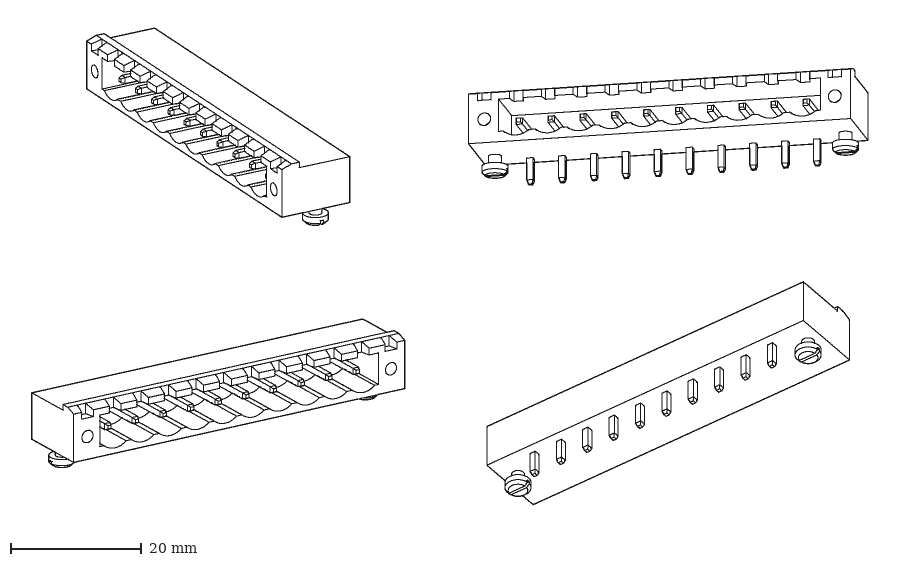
import cadquery as cq


pin_count = 10
pitch = 5.0
row_x = [(i - (pin_count - 1) / 2) * pitch for i in range(pin_count)]
screw_x = [row_x[0] - pitch, row_x[-1] + pitch]

length = (pin_count + 2) * pitch
depth = 12.0
height = 8.5
rear_height = 7.6
lip_depth = 3.1
bevel_depth = 1.7
bevel_drop = 0.6

cavity_end_wall = 4.75
cavity_depth = 9.0
cavity_floor = 1.65
cavity_roof = 6.8
groove_half_width = 2.0
groove_sag = 0.75

notch_front_width = 2.1
notch_back_width = 1.5

pin_size = 1.0
pin_tip_size = 0.6
pin_tip_length = 0.6
pin_axis_z = 3.75
pin_axis_y = depth - 2.1
pin_below_board = 4.1
pin_front_y = 1.6

hole_diameter = 2.0
hole_depth = 5.0
shank_diameter = 2.0
head_diameter = 4.0
screw_y = depth - 4.65
head_top_z = -1.6
head_height = 1.5
head_chamfer = 0.5
slot_width = 0.5
slot_depth = 0.9


def make_housing():
    """Stepped bar whose raised front lip has a bevelled edge."""
    profile = [
        (0, 0),
        (depth, 0),
        (depth, rear_height),
        (lip_depth, rear_height),
        (lip_depth, height),
        (bevel_depth, height),
        (0, height - bevel_drop),
    ]
    return cq.Workplane("YZ").polyline(profile).close().extrude(length / 2, both=True)


def make_cavity():
    """Front pocket with one shallow round groove in its floor below each pin."""
    half_width = length / 2 - cavity_end_wall
    outline = cq.Workplane("XZ").moveTo(-half_width, cavity_roof).lineTo(-half_width, cavity_floor)
    for x in row_x:
        outline = outline.lineTo(x - groove_half_width, cavity_floor)
        outline = outline.threePointArc(
            (x, cavity_floor - groove_sag),
            (x + groove_half_width, cavity_floor),
        )
    outline = outline.lineTo(half_width, cavity_floor).lineTo(half_width, cavity_roof).close()
    return outline.extrude(-cavity_depth)


def make_notch(x):
    """Notch through the lip, widening towards the mating face."""
    plan = [
        (x - notch_front_width / 2, 0),
        (x + notch_front_width / 2, 0),
        (x + notch_back_width / 2, bevel_depth),
        (x - notch_back_width / 2, bevel_depth),
    ]
    return cq.Workplane("XY", origin=(0, 0, cavity_roof)).polyline(plan).close().extrude(height - cavity_roof)


def make_flange_hole(x):
    """Blind round hole in the mating face."""
    return (
        cq.Workplane("XZ", origin=(x, 0, pin_axis_z))
        .circle(hole_diameter / 2)
        .extrude(-hole_depth)
    )


def make_pin_leg(start, direction, leg_length):
    """Square leg from start along direction, tapering to a blunt tip."""
    plane = cq.Plane(origin=start, xDir=(1, 0, 0), normal=direction)
    straight_length = leg_length - pin_tip_length
    leg = cq.Workplane(plane).rect(pin_size, pin_size).extrude(straight_length)
    tip = (
        cq.Workplane(plane)
        .workplane(offset=straight_length)
        .rect(pin_size, pin_size)
        .workplane(offset=pin_tip_length)
        .rect(pin_tip_size, pin_tip_size)
        .loft(combine=True)
    )
    return leg.union(tip)


def make_pin(x):
    """Right-angle pin: one leg points at the mating face, the other at the board."""
    half_pin = pin_size / 2
    contact_start = (x, pin_axis_y + half_pin, pin_axis_z)
    contact = make_pin_leg(contact_start, (0, -1, 0), pin_axis_y + half_pin - pin_front_y)
    tail = make_pin_leg((x, pin_axis_y, pin_axis_z), (0, 0, -1), pin_axis_z + pin_below_board)
    return contact.union(tail)


def make_screw(x):
    """Slotted cheese-head screw hanging below the housing."""
    head_bottom_z = head_top_z - head_height
    shank = cq.Workplane("XY", origin=(x, screw_y, head_top_z)).circle(shank_diameter / 2).extrude(-head_top_z)
    head = (
        cq.Workplane("XY", origin=(x, screw_y, head_bottom_z))
        .circle(head_diameter / 2)
        .extrude(head_height)
        .faces("<Z")
        .chamfer(head_chamfer)
    )
    slot = (
        cq.Workplane("XY", origin=(x, screw_y, head_bottom_z))
        .rect(head_diameter, slot_width)
        .extrude(slot_depth)
    )
    return shank.union(head.cut(slot))


result = make_housing().cut(make_cavity())

for x in screw_x + row_x:
    result = result.cut(make_notch(x))

for x in screw_x:
    result = result.cut(make_flange_hole(x)).union(make_screw(x))

for x in row_x:
    result = result.union(make_pin(x))